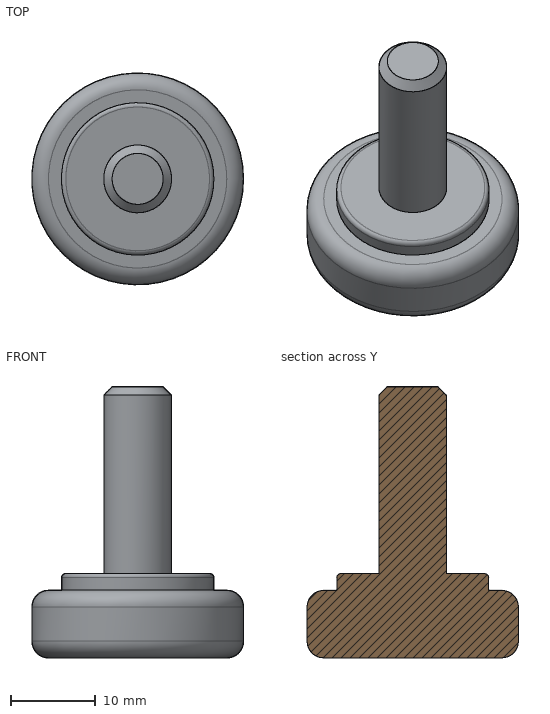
import cadquery as cq

total_height = 32.0
knob_diameter = 25.0
knob_height = 8.0
knob_edge_radius = 2.0
collar_diameter = 18.0
collar_height = 2.0
collar_edge_radius = 0.5
shaft_diameter = 8.0
shaft_tip_chamfer = 1.0

collar_top = knob_height + collar_height
shaft_length = total_height - collar_top


def cylinder(diameter, height, base_level):
    """Upright cylinder on the Z axis, starting at base_level."""
    return cq.Workplane("XY").workplane(offset=base_level).circle(diameter / 2).extrude(height)


knob = cylinder(knob_diameter, knob_height, 0).edges().fillet(knob_edge_radius)

collar = cylinder(collar_diameter, collar_height, knob_height)
collar = collar.faces(">Z").edges().fillet(collar_edge_radius)

shaft = cylinder(shaft_diameter, shaft_length, collar_top)
shaft = shaft.faces(">Z").edges().chamfer(shaft_tip_chamfer)

result = knob.union(collar).union(shaft)